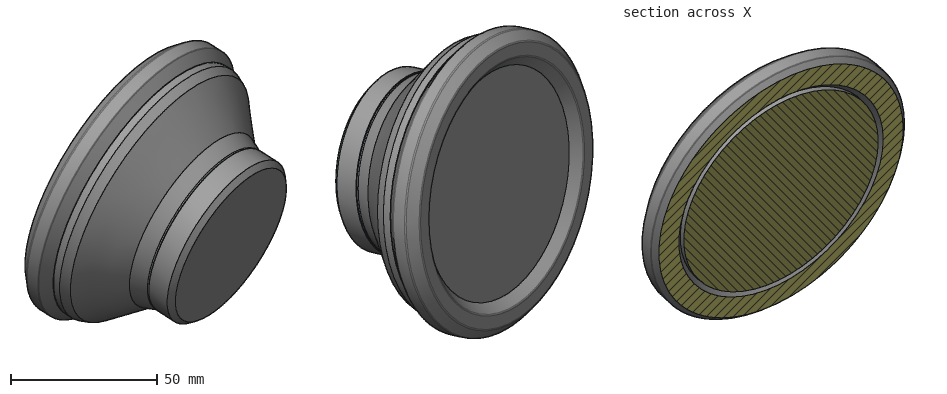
import cadquery as cq
import math

total_length = 49.99

ring_outer_radius = 107.9 / 2
ring_width = 12.5
front_bevel = 3.6
rear_bevel = 3.75
front_edge_fillet = 0.8
rear_edge_fillet = 0.4

rim_radius = 101.0 / 2
rim_length = 2.85
taper_angle = 22.5
rim_taper_length = 3.55
neck_taper_length = 5.9
neck_radius = 64.6 / 2
neck_length = 0.6
collar_radius = 65.0 / 2
collar_length = 10.0
collar_chamfer = 2.0

ring_inner_radius = ring_outer_radius - ring_width
boss_face_x = front_bevel


def revolve_about_x(profile):
    return profile.close().revolve(360, (0, 0, 0), (1, 0, 0))


def make_ring():
    front_inner = ring_inner_radius + front_bevel
    front_outer = ring_outer_radius - front_bevel
    rear_inner = ring_inner_radius + rear_bevel
    rear_outer = ring_outer_radius - rear_bevel
    rear_x = ring_width - rear_bevel
    ring = revolve_about_x(
        cq.Workplane("XY").polyline([
            (0, front_inner),
            (0, front_outer),
            (front_bevel, ring_outer_radius),
            (rear_x, ring_outer_radius),
            (ring_width, rear_outer),
            (ring_width, rear_inner),
            (rear_x, ring_inner_radius),
            (front_bevel, ring_inner_radius),
        ])
    )
    ring = ring.faces("<X").edges().fillet(front_edge_fillet)
    outer_edges = cq.selectors.RadiusNthSelector(-1)
    ring = ring.edges(outer_edges).edges("<X").fillet(front_edge_fillet)
    return ring.edges(outer_edges).edges(">X").fillet(rear_edge_fillet)


def make_hub():
    taper_slope = math.tan(math.radians(taper_angle))
    rim_end_x = ring_width + rim_length
    cone_start_x = rim_end_x + rim_taper_length
    cone_start_radius = rim_radius - rim_taper_length * taper_slope
    collar_x = total_length - collar_length
    neck_end_x = collar_x - (collar_radius - neck_radius)
    neck_start_x = neck_end_x - neck_length
    cone_end_x = neck_start_x - neck_taper_length
    cone_end_radius = neck_radius + neck_taper_length * taper_slope
    return revolve_about_x(
        cq.Workplane("XY")
        .moveTo(boss_face_x, 0)
        .lineTo(boss_face_x, ring_inner_radius)
        .lineTo(ring_width, ring_inner_radius)
        .lineTo(ring_width, rim_radius)
        .lineTo(rim_end_x, rim_radius)
        .lineTo(cone_start_x, cone_start_radius)
        .lineTo(cone_end_x, cone_end_radius)
        .lineTo(neck_start_x, neck_radius)
        .lineTo(neck_end_x, neck_radius)
        .lineTo(collar_x, collar_radius)
        .lineTo(total_length - collar_chamfer, collar_radius)
        .lineTo(total_length, collar_radius - collar_chamfer)
        .lineTo(total_length, 0)
    )


ring = make_ring()
hub = make_hub()
result = cq.Compound.makeCompound([ring.val(), hub.val()])